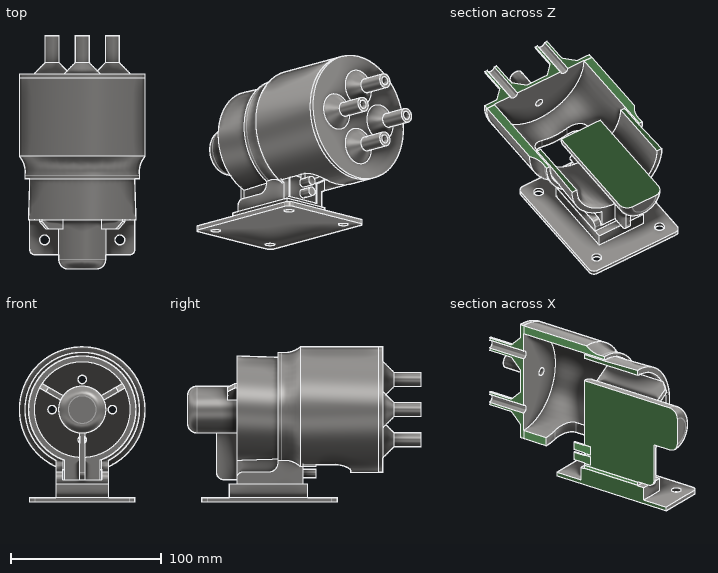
import cadquery as cq
import math


shell_radius = 83.51 / 2
neck_radius = 38.1
flare_mid_radius = 38.35
shell_bore_radius = 35.5
lip_front = 27.2
lip_length = 2.3
flare_mid = 35.4
flare_rear = 42.2
shell_rear = 94.1

clevis_length = 44.0
clevis_width = 35.0
channel_width = 25.8
channel_floor = -46.6
clevis_bottom = -49.3
cheek_top = -41.4
cheek_inner_radius = 6.0
cheek_front_radius = 4.0

slot_width = 40.0
slot_length = 31.5
slot_corner_radius = 10.0

cap_thickness = 2.8
nozzle_count = 4
nozzle_offset = 20.0
nozzle_diameter = 9.45
nozzle_bore = 5.45
nozzle_cone_radius = 12.0
nozzle_cone_length = 7.4
nozzle_length = 25.34

insert_length = clevis_length
insert_bore_radius = 63.51 / 2
insert_radius = 34.9
insert_flare = 0.85
vane_root_radius = (insert_bore_radius + insert_radius) / 2
rod_radius = 31.3 / 2
rod_front = -32.8
rod_nose_radius = 6.5
vane_thickness = 3.4
upper_vane_front = -6.2
upper_vane_chamfer = 5.0
upper_vane_tilt = 30.0
lower_vane_front = -13.6
lower_vane_corner_radius = 5.0
stem_width = 23.8

pin_diameter = 5.74
pin_heights = (-35.0, -42.4)
pin_exposed_length = 8.6
pin_socket_depth = 5.0

block_width = clevis_width
block_front = -5.1
block_length = 52.0
plate_width = 70.0
plate_length = 90.0
plate_front = -23.35
plate_thickness = 3.0
plate_bottom = shell_radius - 103.12
plate_top = plate_bottom + plate_thickness
plate_corner_radius = 3.8
plate_hole_diameter = 6.4
plate_hole_inset = 10.0


def box(width, y_start, y_end, z_start, z_end):
    """Box centred on X = 0 between the given Y and Z limits."""
    return (
        cq.Workplane("XY")
        .box(width, y_end - y_start, z_end - z_start, centered=(True, False, False))
        .translate((0, y_start, z_start))
    )


def rod_along_y(radius, y_start, y_end, x=0.0, z=0.0):
    """Cylinder parallel to the Y axis."""
    axis_start = cq.Vector(x, y_start, z)
    return cq.Workplane(cq.Solid.makeCylinder(radius, y_end - y_start, axis_start, cq.Vector(0, 1, 0)))


def revolve_about_y(profile):
    """Revolve a closed (radius, y) profile about the barrel axis."""
    return profile.close().revolve(360, (0, 0, 0), (0, 1, 0))


def make_clevis():
    """Two cheeks and a floor, reaching up to the barrel axis before the bore is cut."""
    side = (
        cq.Workplane("YZ")
        .moveTo(0, clevis_bottom)
        .lineTo(clevis_length, clevis_bottom)
        .lineTo(clevis_length, 0)
        .lineTo(lip_front, 0)
        .lineTo(lip_front, cheek_top + cheek_inner_radius)
        .radiusArc((lip_front - cheek_inner_radius, cheek_top), cheek_inner_radius)
        .lineTo(cheek_front_radius, cheek_top)
        .radiusArc((0, cheek_top - cheek_front_radius), -cheek_front_radius)
        .close()
    )
    return side.extrude(clevis_width / 2, both=True)


def make_shell():
    lip_rear = lip_front + lip_length
    profile = (
        cq.Workplane("XY")
        .moveTo(0, lip_front)
        .lineTo(neck_radius, lip_front)
        .lineTo(neck_radius, lip_rear)
        .threePointArc((flare_mid_radius, flare_mid), (shell_radius, flare_rear))
        .lineTo(shell_radius, shell_rear)
        .lineTo(0, shell_rear)
    )
    channel = box(channel_width, 0, clevis_length, channel_floor, 0)
    slot = (
        box(slot_width, clevis_length, clevis_length + slot_length, -2 * shell_radius, 0)
        .edges("|Z and >Y")
        .fillet(slot_corner_radius)
    )
    bore = rod_along_y(shell_bore_radius, lip_front, shell_rear)
    return revolve_about_y(profile).union(make_clevis()).cut(channel).cut(slot).cut(bore)


def make_rear_cap():
    cap_rear = shell_rear + cap_thickness
    cone_rear = cap_rear + nozzle_cone_length
    cap = rod_along_y(shell_radius, shell_rear, cap_rear)
    for index in range(nozzle_count):
        angle = 2 * math.pi * index / nozzle_count
        x = nozzle_offset * math.cos(angle)
        z = nozzle_offset * math.sin(angle)
        cone = cq.Solid.makeCone(
            nozzle_cone_radius,
            nozzle_diameter / 2,
            nozzle_cone_length,
            cq.Vector(x, cap_rear, z),
            cq.Vector(0, 1, 0),
        )
        tube = rod_along_y(nozzle_diameter / 2, cone_rear, cap_rear + nozzle_length, x, z)
        hole = rod_along_y(nozzle_bore / 2, shell_rear, cap_rear + nozzle_length, x, z)
        cap = cap.union(cone).union(tube).cut(hole)
    return cap


def make_upper_vane(tilt):
    """Vane from the axis into the ring wall, chamfered at its outer front corner and tilted up from X."""
    vane = (
        cq.Workplane("XY")
        .moveTo(0, upper_vane_front)
        .lineTo(insert_bore_radius - upper_vane_chamfer, upper_vane_front)
        .lineTo(insert_bore_radius, upper_vane_front + upper_vane_chamfer)
        .lineTo(insert_bore_radius, 0)
        .lineTo(vane_root_radius, 0)
        .lineTo(vane_root_radius, insert_length)
        .lineTo(0, insert_length)
        .close()
        .extrude(vane_thickness / 2, both=True)
    )
    return vane.rotate((0, 0, 0), (0, 1, 0), -tilt)


def make_insert():
    profile = (
        cq.Workplane("XY")
        .moveTo(0, 0)
        .lineTo(insert_radius + insert_flare, 0)
        .threePointArc((insert_radius + insert_flare / 4, lip_front / 2), (insert_radius, lip_front))
        .lineTo(insert_radius, insert_length)
        .lineTo(0, insert_length)
    )
    stem = box(stem_width, 0, insert_length, channel_floor, 0)
    bore = rod_along_y(insert_bore_radius, 0, insert_length)
    rod = rod_along_y(rod_radius, rod_front, insert_length).faces("<Y").edges().fillet(rod_nose_radius)
    lower_vane = (
        box(vane_thickness, lower_vane_front, insert_length, channel_floor, 0)
        .edges("|X and <Y and <Z")
        .fillet(lower_vane_corner_radius)
    )
    insert = revolve_about_y(profile).union(stem).cut(bore).union(rod).union(lower_vane)
    for tilt in (upper_vane_tilt, 180 - upper_vane_tilt):
        insert = insert.union(make_upper_vane(tilt))
    return insert


def make_pin(height):
    return rod_along_y(
        pin_diameter / 2, insert_length - pin_socket_depth, insert_length + pin_exposed_length, z=height
    )


def make_mount():
    plate = (
        box(plate_width, plate_front, plate_front + plate_length, plate_bottom, plate_top)
        .edges("|Z")
        .fillet(plate_corner_radius)
        .faces(">Z")
        .workplane(origin=(0, plate_front + plate_length / 2, 0))
        .rect(plate_width - 2 * plate_hole_inset, plate_length - 2 * plate_hole_inset, forConstruction=True)
        .vertices()
        .hole(plate_hole_diameter)
    )
    block = box(block_width, block_front, block_front + block_length, plate_top, clevis_bottom)
    return plate.union(block)


shell = make_shell()
rear_cap = make_rear_cap()
pins = [make_pin(height) for height in pin_heights]
insert = make_insert()
for pin in pins:
    insert = insert.cut(pin)
mount = make_mount()

bodies = [shell, rear_cap, insert, *pins, mount]
result = cq.Compound.makeCompound([body.val() for body in bodies])